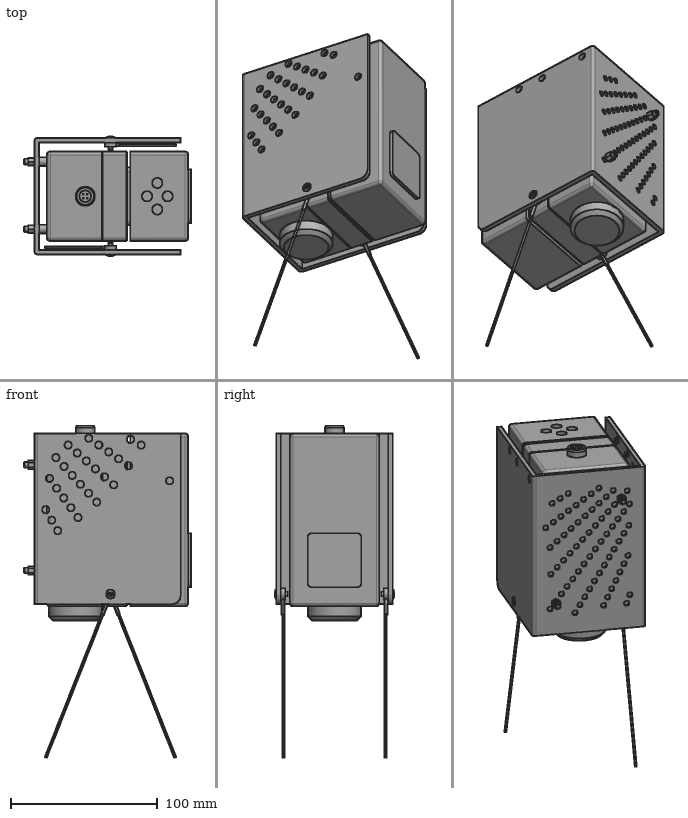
import cadquery as cq
import math


bracket_length = 99.5
bracket_width = 79.5
bracket_height = 116.3
sheet = 3.2
bend_radius = 2.0
bracket_corner_radius = 5.7
half_width = bracket_width / 2
inner_half_width = half_width - sheet

side_vent_diameter = 5.0
side_vent_focus = (-58.1, 179.2)
side_vent_first_radius = 107.7
side_vent_last_radius = 148.8
side_vent_steps = 5
side_vent_pitch = (side_vent_last_radius - side_vent_first_radius) / side_vent_steps
side_vent_first_angle = 28.45
side_vent_angle_step = 6.35
side_vent_rays = [(4, 2), (1, 5), (0, 6), (0, 6), (1, 5), (3, 3)]
single_side_hole = (92.0, 84.0)
far_side_holes = [(9.5, 111.0), (44.0, 110.8), (64.2, 112.0)]

back_vent_diameter = 3.6
back_vent_depth = 1.5
back_vent_focus = (-75.8, 150.7)
back_vent_first_radius = 70.5
back_vent_last_radius = 167.5
back_vent_steps = 15
back_vent_pitch = (back_vent_last_radius - back_vent_first_radius) / back_vent_steps
back_vent_first_angle = 28.5
back_vent_angle_step = 5.87
back_vent_rays = [(5, 3), (2, 8), (1, 10), (0, 13), (1, 15), (3, 12), (6, 7), (10, 2)]

housing_width = 61.0
housing_bottom = -1.5
housing_top = bracket_height
housing_height = housing_top - housing_bottom
housing_middle_z = (housing_top + housing_bottom) / 2
housing_edge_radius = 2.3
rear_housing_start = 8.4
rear_housing_end = 62.7
front_housing_start = 65.1
front_housing_end = 104.7
lid_seam_x = 45.7
seam_width = 0.7
seam_depth = 0.35
gasket_thickness = 0.7
gasket_inset = 0.7

joint_size = 39.5
front_pad_size = 36.6
front_pad_end = 106.8
pad_z = 29.9
pad_corner_radius = 2.7

opening_diameter = 7.0
opening_depth = 4.5
opening_center_x = 83.7
opening_offset_x = 7.0
opening_offset_y = 9.0

connector_x = 34.5
connector_diameter = 13.1
connector_height = 5.2
connector_bevel = 0.7
connector_bevel_height = 1.4
socket_diameter = 8.0
socket_depth = 1.4
contact_diameter = 0.7
contact_circle_diameter = 3.6
contact_height = 1.0
contact_count = 4
contact_start_angle = 45

gland_x = 27.8
gland_diameter = 36.2
gland_bottom = -11.3
gland_chamfer = 3.0

stud_places = [(-22.5, 94.8), (23.5, 22.8)]
stud_diameter = 4.0
stud_end = -7.2
stud_chamfer = 0.7
nut_across_corners = 6.0
nut_thickness = 4.3
standoff_diameter = 6.0

pivot_x = 51.8
pivot_z = 6.8
head_diameter = 6.0
head_height = 1.02
head_flat_diameter = 2.7
head_rim_height = 0.5
slot_width = 1.1
slot_depth = 0.7
collar_diameter = 8.0
collar_thickness = 3.0
pin_diameter = 3.0
pin_length = 4.8
sleeve_inset = 1.4
rod_inset = 1.8
sleeve_diameter = 2.1
sleeve_length = 15.0
rod_diameter = 1.5
rod_angle = 21.6
rod_bottom = -104.7


def box(x_range, y_range, z_range):
    size = [high - low for low, high in (x_range, y_range, z_range)]
    return cq.Workplane("XY").box(*size, centered=False).translate((x_range[0], y_range[0], z_range[0]))


def cylinder(start, direction, diameter, length):
    return cq.Workplane(cq.Solid.makeCylinder(diameter / 2, length, cq.Vector(*start), cq.Vector(*direction)))


def vent_points(focus, first_radius, pitch, first_angle, angle_step, rays):
    """Hole centres on rays that run down and away from the focus."""
    points = []
    for ray, (first, count) in enumerate(rays):
        angle = math.radians(first_angle + ray * angle_step)
        for hole in range(first, first + count):
            radius = first_radius + hole * pitch
            points.append((focus[0] + radius * math.cos(angle), focus[1] - radius * math.sin(angle)))
    return points


def make_bracket():
    outer = box((0, bracket_length), (-half_width, half_width), (0, bracket_height))
    outer = outer.edges("|Z and <X").fillet(bend_radius)
    outer = outer.edges("|Y and >X and <Z").fillet(bracket_corner_radius)
    bay = box((sheet, bracket_length), (-inner_half_width, inner_half_width), (0, bracket_height))

    side_points = vent_points(side_vent_focus, side_vent_first_radius, side_vent_pitch,
                              side_vent_first_angle, side_vent_angle_step, side_vent_rays)
    side_vents = (
        cq.Workplane("XZ").pushPoints(side_points + [single_side_hole])
        .circle(side_vent_diameter / 2).extrude(half_width)
    )
    far_side_vents = (
        cq.Workplane("XZ").pushPoints(far_side_holes)
        .circle(side_vent_diameter / 2).extrude(-half_width)
    )
    back_points = vent_points(back_vent_focus, back_vent_first_radius, back_vent_pitch,
                              back_vent_first_angle, back_vent_angle_step, back_vent_rays)
    back_vents = (
        cq.Workplane("YZ").pushPoints(back_points)
        .circle(back_vent_diameter / 2).extrude(back_vent_depth)
    )
    return outer.cut(bay).cut(side_vents).cut(far_side_vents).cut(back_vents)


def rounded_pad(x_range, width, height, center_z, corner_radius):
    pad = box(x_range, (-width / 2, width / 2), (center_z - height / 2, center_z + height / 2))
    return pad.edges("|X").fillet(corner_radius)


def housing_section(x_range, inset):
    """Slice of the rear housing's cross-section, drawn in by the inset on every side."""
    return rounded_pad(x_range, housing_width - 2 * inset, housing_height - 2 * inset,
                       housing_middle_z, housing_edge_radius - inset)


def make_housing(x_range, outer_end):
    """Block with every edge rounded except those of the end that faces the other housing."""
    block = box(x_range, (-housing_width / 2, housing_width / 2), (housing_bottom, housing_top))
    return block.edges(f"|X or {outer_end}").fillet(housing_edge_radius)


def make_rear_housing():
    housing = make_housing((rear_housing_start, rear_housing_end), "<X")
    seam_range = (lid_seam_x, lid_seam_x + seam_width)
    seam = housing_section(seam_range, 0).cut(housing_section(seam_range, seam_depth))
    gasket = housing_section((rear_housing_end, rear_housing_end + gasket_thickness), gasket_inset)
    return housing.cut(seam).union(gasket)


def make_front_housing():
    housing = make_housing((front_housing_start, front_housing_end), ">X")
    centers = [
        (opening_center_x - opening_offset_x, 0),
        (opening_center_x + opening_offset_x, 0),
        (opening_center_x, -opening_offset_y),
        (opening_center_x, opening_offset_y),
    ]
    openings = (
        cq.Workplane("XY", origin=(0, 0, housing_top)).pushPoints(centers)
        .circle(opening_diameter / 2).extrude(-opening_depth)
    )
    return housing.cut(openings)


def make_pads():
    joint = rounded_pad((rear_housing_end, front_housing_start), joint_size, joint_size,
                        pad_z, pad_corner_radius)
    front_pad = rounded_pad((front_housing_end, front_pad_end), front_pad_size, front_pad_size,
                            pad_z, pad_corner_radius)
    return joint.union(front_pad)


def make_connector():
    body = cylinder((connector_x, 0, housing_top), (0, 0, 1), connector_diameter, connector_height)
    body = body.faces(">Z").edges().chamfer(connector_bevel_height, connector_bevel)
    socket_floor = housing_top + connector_height - socket_depth
    socket = cylinder((connector_x, 0, socket_floor), (0, 0, 1), socket_diameter, socket_depth)
    contacts = (
        cq.Workplane("XY", origin=(connector_x, 0, socket_floor))
        .polarArray(contact_circle_diameter / 2, contact_start_angle, 360, contact_count)
        .circle(contact_diameter / 2).extrude(contact_height)
    )
    return body.cut(socket).union(contacts)


def make_gland():
    gland = cylinder((gland_x, 0, gland_bottom), (0, 0, 1), gland_diameter, housing_bottom - gland_bottom)
    return gland.faces("<Z").edges().chamfer(gland_chamfer)


def make_stud(y, z):
    """Stud that carries a nut behind the back wall and a standoff between wall and housing."""
    stud = cylinder((stud_end, y, z), (1, 0, 0), stud_diameter, sheet - stud_end)
    stud = stud.faces("<X").edges().chamfer(stud_chamfer)
    nut = (
        cq.Workplane("YZ", origin=(0, y, z)).transformed(rotate=(0, 0, 90))
        .polygon(6, nut_across_corners).extrude(-nut_thickness)
    )
    standoff = cylinder((sheet, y, z), (1, 0, 0), standoff_diameter, rear_housing_start - sheet)
    return stud.union(nut).union(standoff)


def make_screw():
    """Slotted screw through the +Y bracket wall, with its collar and pin inside."""
    head = cylinder((pivot_x, half_width, pivot_z), (0, 1, 0), head_diameter, head_height)
    slope_width = (head_diameter - head_flat_diameter) / 2
    head = head.faces(">Y").edges().chamfer(head_height - head_rim_height, slope_width)
    slot = box((pivot_x - head_diameter / 2, pivot_x + head_diameter / 2),
               (half_width + head_height - slot_depth, half_width + head_height),
               (pivot_z - slot_width / 2, pivot_z + slot_width / 2))
    head = head.cut(slot)
    collar = cylinder((pivot_x, inner_half_width, pivot_z), (0, -1, 0), collar_diameter, collar_thickness)
    pin = cylinder((pivot_x, inner_half_width, pivot_z), (0, -1, 0), pin_diameter, pin_length)
    return head.union(collar).union(pin)


def make_rod():
    """Antenna rod with a thicker sleeve, leaning down toward +X from the +Y collar."""
    angle = math.radians(rod_angle)
    sleeve_start = (pivot_x, inner_half_width - sleeve_inset, pivot_z)
    rod_start = (pivot_x, inner_half_width - rod_inset, pivot_z)
    direction = (math.sin(angle), 0, -math.cos(angle))
    rod_length = (pivot_z - rod_bottom - rod_diameter / 2 * math.sin(angle)) / math.cos(angle)
    sleeve = cylinder(sleeve_start, direction, sleeve_diameter, sleeve_length)
    rod = cylinder(rod_start, direction, rod_diameter, rod_length)
    return sleeve.union(rod)


antenna = make_screw().union(make_rod())
pivot_axis = ((pivot_x, 0, 0), (pivot_x, 0, 1))
parts = [
    make_rear_housing(),
    make_front_housing(),
    make_pads(),
    make_connector(),
    make_gland(),
    antenna,
    antenna.rotate(*pivot_axis, 180),
]
parts += [make_stud(y, z) for y, z in stud_places]

result = make_bracket()
for part in parts:
    result = result.union(part)